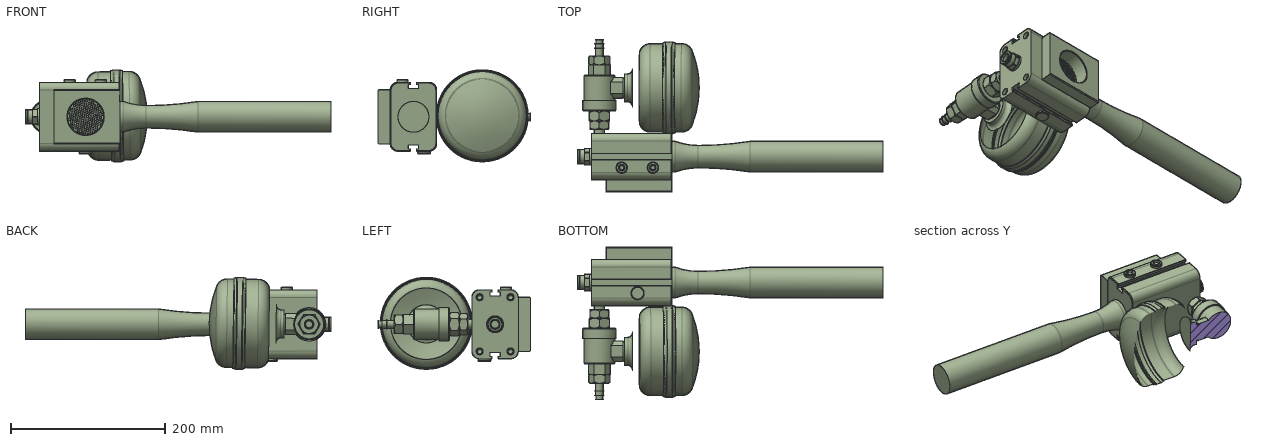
import cadquery as cq
import math


TOTAL_LENGTH = 396.0
HALF_HEX_ANGLE = 30.0

BLOCK_LENGTH = 104.0
BLOCK_DEPTH = 60.0
BLOCK_HEIGHT = 89.5
BLOCK_CORNER_RADIUS = 10.0
BLOCK_END_CHAMFER = 1.0

SLOT_MOUTH_WIDTH = 8.0
SLOT_INNER_WIDTH = 13.0
SLOT_LIP = 3.0
SLOT_DEPTH = 8.0
SLOT_EDGE_CHAMFER = 0.5

CORNER_HOLE_DIAMETER = 6.5
CORNER_HOLE_MOUTH_DIAMETER = 9.0
CORNER_HOLE_MOUTH_DEPTH = 4.8
CORNER_HOLE_DEPTH = 10.0
CORNER_HOLE_TIP_ANGLE = 118.0
CORNER_HOLE_SPACING_Y = 40.0
CORNER_HOLE_SPACING_Z = 70.0

PLATE_LENGTH = 85.0
PLATE_HEIGHT = 70.5
PLATE_THICKNESS = 16.0
PLATE_EDGE_CHAMFER = 1.0
BORE_DIAMETER = 46.7
BORE_X = 59.8
BORE_DEPTH = 19.8
BORE_CHAMFER = 0.8
MESH_HOLE_DIAMETER = 3.0
MESH_HOLE_DEPTH = 2.0
MESH_PITCH = 4.8
MESH_ANGLE = 8.5

SCREW_HEAD_DIAMETER = 14.5
SCREW_HEAD_HEIGHT = 3.5
SCREW_SOCKET_DIAMETER = 8.5
SCREW_SOCKET_FLOOR_DIAMETER = 5.5
SCREW_SOCKET_DEPTH = 1.0
HEAD_CHAMFER = 0.8
SCREW_X = (39.0, 79.5)
SCREW_Y = -14.3
CAP_DIAMETER = 17.0
CAP_HEIGHT = 3.0
CAP_Y = 14.0

NOZZLE_LENGTH = 18.2
NOZZLE_DIAMETER = 18.5
NOZZLE_NUT_FLATS = 19.5
NOZZLE_NUT_LENGTH = 6.0
NOZZLE_COLLAR_DIAMETER = 21.8
NOZZLE_COLLAR_LENGTH = 2.8
NOZZLE_GROOVE_DIAMETER = 18.0
NOZZLE_GROOVE_START = 15.0
NOZZLE_GROOVE_WIDTH = 1.0
NOZZLE_BORE_DIAMETER = 10.3
NOZZLE_MOUTH_DIAMETER = 13.0
NOZZLE_BORE_DEPTH = 12.0

HANDLE_DIAMETER = 40.0
WAIST_DIAMETER = 29.3
HANDLE_NECK_END = 108.5
WAIST_X = 138.0
GRIP_START = 205.5

VALVE_X = 10.3
DRUM_Y = 89.0
DRUM_TILT = 0.8


def revolve_about_x(outline):
    """Turn an outline of (x, radius) around the X axis."""
    return outline.close().revolve(360, (0, 0), (1, 0))


def cylinder_x(start, end, diameter):
    return cq.Workplane("YZ", origin=(start, 0, 0)).circle(diameter / 2).extrude(end - start)


def cylinder_y(start, end, diameter):
    return cq.Workplane("XZ", origin=(0, end, 0)).circle(diameter / 2).extrude(end - start)


def hexagon_y(start, end, flats, turn, chamfer=0.0):
    """Hexagonal nut along Y; with turn 0 two corners point along X."""
    corners = flats / math.cos(math.radians(HALF_HEX_ANGLE))
    nut = cq.Workplane("XZ", origin=(0, end, 0)).polygon(6, corners).extrude(end - start)
    nut = nut.rotate((0, 0, 0), (0, 1, 0), turn)
    if chamfer:
        nut = nut.intersect(cylinder_y(start, end, corners).edges().chamfer(chamfer))
    return nut


def corner_hole():
    """Counterbored hole entering at X = 0 toward +X, with a drilled conical tip."""
    radius = CORNER_HOLE_DIAMETER / 2
    mouth_radius = CORNER_HOLE_MOUTH_DIAMETER / 2
    tip = radius / math.tan(math.radians(CORNER_HOLE_TIP_ANGLE / 2))
    return revolve_about_x(
        cq.Workplane("XY")
        .moveTo(0, 0)
        .lineTo(0, mouth_radius)
        .lineTo(CORNER_HOLE_MOUTH_DEPTH, mouth_radius)
        .lineTo(CORNER_HOLE_MOUTH_DEPTH, radius)
        .lineTo(CORNER_HOLE_DEPTH, radius)
        .lineTo(CORNER_HOLE_DEPTH + tip, 0)
    )


def make_block():
    block = cq.Workplane("XY").box(BLOCK_LENGTH, BLOCK_DEPTH, BLOCK_HEIGHT)
    block = block.edges("|X").fillet(BLOCK_CORNER_RADIUS)
    block = block.faces(">X").edges().chamfer(BLOCK_END_CHAMFER)
    rim_side = (SLOT_MOUTH_WIDTH + 2 * SLOT_EDGE_CHAMFER) / math.sqrt(2)
    for side in (1, -1):
        mouth = cq.Workplane("XY").box(BLOCK_LENGTH, SLOT_MOUTH_WIDTH, 2 * SLOT_DEPTH)
        inner = cq.Workplane("XY").box(BLOCK_LENGTH, SLOT_INNER_WIDTH, SLOT_DEPTH - SLOT_LIP)
        rim = cq.Workplane("XY").box(BLOCK_LENGTH, rim_side, rim_side).rotate((0, 0, 0), (1, 0, 0), 45)
        block = block.cut(mouth.translate((0, 0, side * BLOCK_HEIGHT / 2)))
        block = block.cut(rim.translate((0, 0, side * BLOCK_HEIGHT / 2)))
        block = block.cut(inner.translate((0, 0, side * (BLOCK_HEIGHT - SLOT_LIP - SLOT_DEPTH) / 2)))
    block = block.translate((BLOCK_LENGTH / 2, 0, 0))
    hole = corner_hole()
    for y in (-CORNER_HOLE_SPACING_Y / 2, CORNER_HOLE_SPACING_Y / 2):
        for z in (-CORNER_HOLE_SPACING_Z / 2, CORNER_HOLE_SPACING_Z / 2):
            block = block.cut(hole.translate((0, y, z)))
    return block


def make_plate():
    plate = cq.Workplane("XY").box(PLATE_LENGTH, PLATE_THICKNESS, PLATE_HEIGHT)
    plate = plate.faces("<Y").edges("|X").chamfer(PLATE_EDGE_CHAMFER)
    return plate.translate((BLOCK_LENGTH - PLATE_LENGTH / 2, -(BLOCK_DEPTH + PLATE_THICKNESS) / 2, 0))


def mesh_points():
    """Triangular grid of hole centres, turned, with the bore axis midway between two holes."""
    limit = BORE_DIAMETER / 2
    reach = math.ceil(BORE_DIAMETER / MESH_PITCH)
    turn = math.radians(MESH_ANGLE)
    points = []
    for row in range(-reach, reach + 1):
        for column in range(-reach, reach + 1):
            along = MESH_PITCH * (column + row / 2 + 0.5)
            across = MESH_PITCH * row * math.sin(math.radians(60))
            if math.hypot(along, across) < limit:
                x = along * math.cos(turn) - across * math.sin(turn)
                z = along * math.sin(turn) + across * math.cos(turn)
                points.append((x, z))
    return points


def make_bore():
    """Round opening in the plate and the perforations in its floor."""
    front_y = -BLOCK_DEPTH / 2 - PLATE_THICKNESS
    floor_y = front_y + BORE_DEPTH
    opening = cylinder_y(front_y, floor_y, BORE_DIAMETER)
    rim = (
        cq.Workplane("XZ", origin=(0, front_y, 0))
        .circle(BORE_DIAMETER / 2 + BORE_CHAMFER)
        .workplane(offset=-BORE_CHAMFER)
        .circle(BORE_DIAMETER / 2)
        .loft()
    )
    holes = (
        cq.Workplane("XZ", origin=(0, floor_y + MESH_HOLE_DEPTH, 0))
        .pushPoints(mesh_points())
        .circle(MESH_HOLE_DIAMETER / 2)
        .extrude(MESH_HOLE_DEPTH)
        .intersect(cylinder_y(floor_y, floor_y + MESH_HOLE_DEPTH, BORE_DIAMETER))
    )
    return opening.union(rim).union(holes).translate((BORE_X, 0, 0))


def make_screws():
    top = BLOCK_HEIGHT / 2
    places = [(x, SCREW_Y) for x in SCREW_X]
    heads = (
        cq.Workplane("XY", origin=(0, 0, top - SCREW_HEAD_HEIGHT))
        .pushPoints(places)
        .circle(SCREW_HEAD_DIAMETER / 2)
        .extrude(2 * SCREW_HEAD_HEIGHT)
        .faces(">Z")
        .edges()
        .chamfer(HEAD_CHAMFER)
    )
    socket = (
        cq.Workplane("XY", origin=(0, 0, top + SCREW_HEAD_HEIGHT))
        .circle(SCREW_SOCKET_DIAMETER / 2)
        .workplane(offset=-SCREW_SOCKET_DEPTH)
        .circle(SCREW_SOCKET_FLOOR_DIAMETER / 2)
        .loft()
    )
    for x, y in places:
        heads = heads.cut(socket.translate((x, y, 0)))
    cap = cq.Workplane("XY", origin=(BORE_X, CAP_Y, -top - CAP_HEIGHT))
    cap = cap.circle(CAP_DIAMETER / 2).extrude(2 * CAP_HEIGHT).faces("<Z").chamfer(HEAD_CHAMFER)
    return heads.union(cap)


def make_nozzle():
    nut_end = -NOZZLE_COLLAR_LENGTH - NOZZLE_NUT_LENGTH
    nozzle = cylinder_x(-NOZZLE_LENGTH, 0, NOZZLE_DIAMETER)
    nut_corners = NOZZLE_NUT_FLATS / math.cos(math.radians(HALF_HEX_ANGLE))
    nut = cq.Workplane("YZ", origin=(nut_end, 0, 0)).polygon(6, nut_corners).extrude(NOZZLE_NUT_LENGTH)
    nut = nut.intersect(cylinder_x(nut_end, -NOZZLE_COLLAR_LENGTH, NOZZLE_COLLAR_DIAMETER))
    nozzle = nozzle.union(nut).union(cylinder_x(-NOZZLE_COLLAR_LENGTH, 0, NOZZLE_COLLAR_DIAMETER))
    groove_end = -NOZZLE_GROOVE_START
    groove_start = groove_end - NOZZLE_GROOVE_WIDTH
    groove = cylinder_x(groove_start, groove_end, 2 * NOZZLE_DIAMETER)
    groove = groove.cut(cylinder_x(groove_start, groove_end, NOZZLE_GROOVE_DIAMETER))
    mouth_depth = (NOZZLE_MOUTH_DIAMETER - NOZZLE_BORE_DIAMETER) / 2
    bore = revolve_about_x(
        cq.Workplane("XY")
        .moveTo(-NOZZLE_LENGTH, 0)
        .lineTo(-NOZZLE_LENGTH, NOZZLE_MOUTH_DIAMETER / 2)
        .lineTo(mouth_depth - NOZZLE_LENGTH, NOZZLE_BORE_DIAMETER / 2)
        .lineTo(NOZZLE_BORE_DEPTH - NOZZLE_LENGTH, NOZZLE_BORE_DIAMETER / 2)
        .lineTo(NOZZLE_BORE_DEPTH - NOZZLE_LENGTH, 0)
    )
    return nozzle.cut(groove).cut(bore)


def waist_radius(x, arc_end):
    """Radius at x on the arc that leaves the waist level and reaches the full handle at arc_end."""
    length = arc_end - WAIST_X
    rise = (HANDLE_DIAMETER - WAIST_DIAMETER) / 2
    arc_radius = (length**2 + rise**2) / (2 * rise)
    return WAIST_DIAMETER / 2 + arc_radius - math.sqrt(arc_radius**2 - (x - WAIST_X) ** 2)


def make_handle():
    handle_end = TOTAL_LENGTH - NOZZLE_LENGTH
    full = HANDLE_DIAMETER / 2
    waist = (WAIST_X, WAIST_DIAMETER / 2)
    neck_middle = (HANDLE_NECK_END + WAIST_X) / 2
    grip_middle = (WAIST_X + GRIP_START) / 2
    return revolve_about_x(
        cq.Workplane("XY")
        .moveTo(BLOCK_LENGTH, 0)
        .lineTo(BLOCK_LENGTH, full)
        .lineTo(HANDLE_NECK_END, full)
        .threePointArc((neck_middle, waist_radius(neck_middle, HANDLE_NECK_END)), waist)
        .threePointArc((grip_middle, waist_radius(grip_middle, GRIP_START)), (GRIP_START, full))
        .lineTo(handle_end, full)
        .lineTo(handle_end, 0)
    )



VALVE_FOOT_OVERLAP = 1.0
VALVE_FOOT_Y = BLOCK_DEPTH / 2 - DRUM_Y
PIPE_DIAMETER = 13.5
LOWER_NUT_FLATS = 24.0
LOWER_NUT_START = -54.0
LOWER_HEX_FLATS = 26.0
LOWER_HEX_START = -42.8
COLLAR_DIAMETER = 43.0
COLLAR_START = -30.0
BODY_DIAMETER = 40.0
BODY_START = -16.5
BODY_END = 16.5
BODY_CHAMFER = 1.0
UPPER_HEX_FLATS = 25.0
UPPER_HEX_END = 29.5
UPPER_NUT_FLATS = 24.0
UPPER_NUT_END = 41.5
NUT_CHAMFER = 2.0

BARB_NECK_DIAMETER = 9.0
BARB_STEM_DIAMETER = 10.3
BARB_RIDGE_DIAMETER = 12.3
BARB_TIP_Y = 62.5
BARB_RIDGES = (51.0, 57.0)
BARB_LIP = 0.5

BRANCH_SIZE = 27.0
BRANCH_CORNER_CHAMFER = 6.0
BRANCH_BLOCK_END = 30.5
BRANCH_NECK_DIAMETER = 25.0
FLANGE_START = 32.5
FLANGE_END = 37.0
FLANGE_DIAMETER = 36.5
BELL_END = 42.8
BELL_DIAMETER = 49.5
BELL_BOW = 1.0


def make_valve():
    valve = cylinder_y(VALVE_FOOT_Y - VALVE_FOOT_OVERLAP, LOWER_NUT_START, PIPE_DIAMETER)
    lower_nuts = (
        (LOWER_NUT_START, LOWER_HEX_START, LOWER_NUT_FLATS),
        (LOWER_HEX_START, COLLAR_START, LOWER_HEX_FLATS),
    )
    for start, end, flats in lower_nuts:
        valve = valve.union(hexagon_y(start, end, flats, HALF_HEX_ANGLE, NUT_CHAMFER))
    collar = cylinder_y(COLLAR_START, BODY_START, COLLAR_DIAMETER).faces("<Y").chamfer(BODY_CHAMFER)
    body = cylinder_y(BODY_START, BODY_END, BODY_DIAMETER).faces(">Y").chamfer(BODY_CHAMFER)
    valve = valve.union(collar).union(body)
    valve = valve.union(hexagon_y(BODY_END, UPPER_HEX_END, UPPER_HEX_FLATS, 0))
    return valve.union(hexagon_y(UPPER_HEX_END, UPPER_NUT_END, UPPER_NUT_FLATS, 0, NUT_CHAMFER))


def make_barb():
    """Hose tail: a stem with two ridges and a slimmer neck below a lip at the tip."""
    stem = BARB_STEM_DIAMETER / 2
    ridge = BARB_RIDGE_DIAMETER / 2
    neck = BARB_NECK_DIAMETER / 2
    outline = cq.Workplane("XY").moveTo(0, UPPER_NUT_END).lineTo(stem, UPPER_NUT_END)
    for y in BARB_RIDGES:
        outline = outline.lineTo(stem, y).lineTo(ridge, y)
        outline = outline.lineTo(ridge, y + BARB_LIP).lineTo(stem, y + BARB_LIP)
    top_ridge = BARB_RIDGES[-1] + BARB_LIP
    outline = outline.lineTo(neck, top_ridge).lineTo(neck, BARB_TIP_Y - BARB_LIP)
    outline = outline.lineTo(stem, BARB_TIP_Y - BARB_LIP).lineTo(stem, BARB_TIP_Y).lineTo(0, BARB_TIP_Y)
    return outline.close().revolve(360, (0, 0), (0, 1))


def make_branch():
    branch = cq.Workplane("YZ").rect(BRANCH_SIZE, BRANCH_SIZE).extrude(BRANCH_BLOCK_END)
    branch = branch.edges("|X").chamfer(BRANCH_CORNER_CHAMFER)
    branch = branch.union(cylinder_x(0, FLANGE_START, BRANCH_NECK_DIAMETER))
    branch = branch.union(cylinder_x(FLANGE_START, FLANGE_END, FLANGE_DIAMETER))
    bell_start = FLANGE_DIAMETER / 2
    bell_end = BELL_DIAMETER / 2
    bell_middle = (FLANGE_END + BELL_END) / 2
    bell = revolve_about_x(
        cq.Workplane("XY")
        .moveTo(FLANGE_END, 0)
        .lineTo(FLANGE_END, bell_start)
        .threePointArc((bell_middle + BELL_BOW, (bell_start + bell_end) / 2 - BELL_BOW), (BELL_END, bell_end))
        .lineTo(BELL_END, 0)
    )
    return branch.union(bell)


DRUM_START = 52.0
DRUM_DIAMETER = 115.0
DRUM_MOUTH_DIAMETER = 92.5
DRUM_ROUND_END = 66.0
DRUM_CROWN_START = 106.5
DRUM_CROWN_EDGE = 120.5
DRUM_CROWN_EDGE_DIAMETER = 96.0
DRUM_END = 129.5
DRUM_WALL = 1.0
RING_START = 82.5
RING_END = 98.0
RING_DIAMETER = 119.0
RING_BEVEL_LENGTH = 3.5
RING_BEVEL_RISE = 1.0


def level_arc_point(level, end):
    """Middle point of an arc between two (x, radius) points that runs level at the first."""
    length = end[0] - level[0]
    drop = level[1] - end[1]
    arc_radius = (length**2 + drop**2) / (2 * drop)
    half = math.asin(abs(length) / arc_radius) / 2
    step = math.copysign(arc_radius * math.sin(half), length)
    return level[0] + step, level[1] - arc_radius * (1 - math.cos(half))


def crown_arc_point(edge, x_end):
    """Middle point of the domed crown, which is square to the axis at x_end."""
    rise = x_end - edge[0]
    dome_radius = (edge[1] ** 2 + rise**2) / (2 * rise)
    middle = edge[1] / 2
    return x_end - dome_radius + math.sqrt(dome_radius**2 - middle**2), middle


def drum_solid(inset):
    """Drum envelope; an inset moves it inward everywhere but at the sharp rim of its open mouth."""
    side = DRUM_DIAMETER / 2 - inset
    ring = RING_DIAMETER / 2 - inset
    ring_start = RING_START + inset
    ring_end = RING_END - inset
    mouth = (DRUM_START, DRUM_MOUTH_DIAMETER / 2)
    front = (DRUM_ROUND_END, side)
    back = (DRUM_CROWN_START, side)
    edge = (DRUM_CROWN_EDGE - inset, DRUM_CROWN_EDGE_DIAMETER / 2 - inset)
    crown_x = DRUM_END - inset
    return revolve_about_x(
        cq.Workplane("XY")
        .moveTo(DRUM_START, 0)
        .lineTo(*mouth)
        .threePointArc(level_arc_point(front, mouth), front)
        .lineTo(ring_start, side)
        .lineTo(ring_start, ring - RING_BEVEL_RISE)
        .lineTo(ring_start + RING_BEVEL_LENGTH, ring)
        .lineTo(ring_end - RING_BEVEL_LENGTH, ring)
        .lineTo(ring_end, ring - RING_BEVEL_RISE)
        .lineTo(ring_end, side)
        .lineTo(*back)
        .threePointArc(level_arc_point(back, edge), edge)
        .threePointArc(crown_arc_point(edge, crown_x), (crown_x, 0))
    )


def make_drum():
    return drum_solid(0).cut(drum_solid(DRUM_WALL))


gauge = make_valve().union(make_barb()).union(make_branch()).union(make_drum())
gauge = gauge.rotate((0, 0, 0), (0, 1, 0), -DRUM_TILT).translate((VALVE_X, DRUM_Y, 0))

housing = make_block().union(make_plate()).cut(make_bore()).union(make_screws())
result = housing.union(make_nozzle()).union(make_handle()).union(gauge)